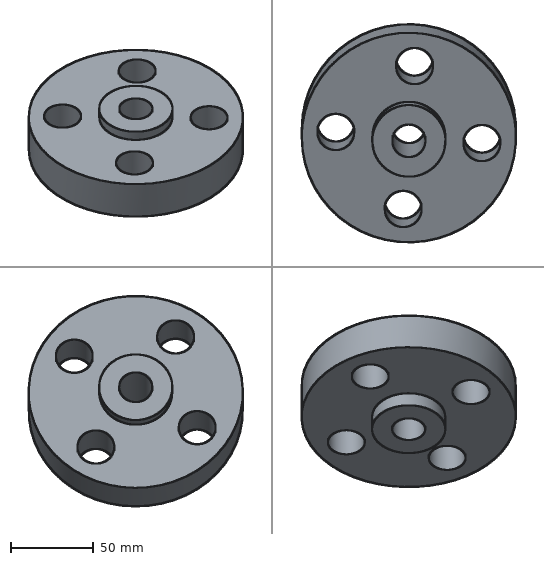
import cadquery as cq

flange_diameter = 130.05
flange_thickness = 25.4

hub_diameter = 44.45
upper_hub_height = 6.35
lower_hub_height = 9.65
bore_diameter = 20.1

bolt_circle_diameter = 88.9
bolt_hole_diameter = 22.4
bolt_count = 4
first_bolt_angle = 45

total_height = lower_hub_height + flange_thickness + upper_hub_height


def cylinder(diameter, bottom, height):
    """Upright cylinder on the Z axis, starting at the given height."""
    return cq.Workplane("XY").workplane(offset=bottom).circle(diameter / 2).extrude(height)


def bolt_holes():
    """Cutters for the through holes spaced evenly on the bolt circle."""
    return (
        cq.Workplane("XY")
        .polarArray(bolt_circle_diameter / 2, first_bolt_angle, 360, bolt_count)
        .circle(bolt_hole_diameter / 2)
        .extrude(total_height)
    )


hub = cylinder(hub_diameter, 0, total_height)
flange = cylinder(flange_diameter, lower_hub_height, flange_thickness)
bore = cylinder(bore_diameter, 0, total_height)

result = flange.union(hub).cut(bore).cut(bolt_holes())